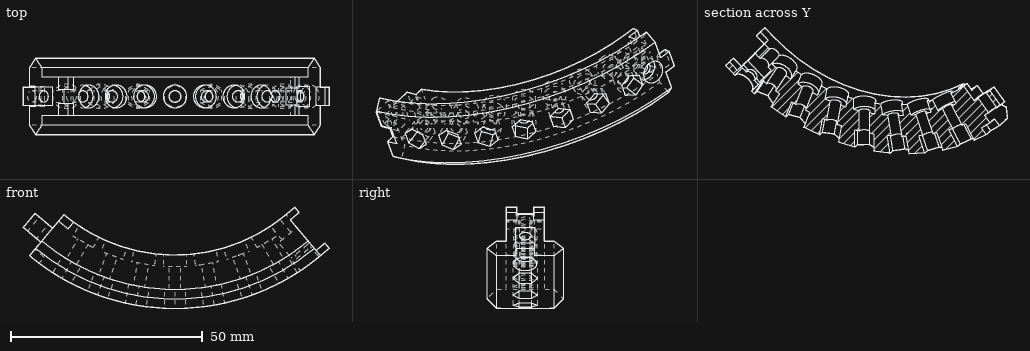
import cadquery as cq
import math

OUTER_R = 59.0
DEPTH = 14.0
INNER_R = OUTER_R - DEPTH
HALF_SPAN = 40.0

WEB_WIDTH = 10.0
FLANGE_WIDTH = 20.0
FLANGE_DEPTH = 5.0
FLANGE_CHAMFER = 2.5

FIT = 0.2
TONGUE = 5.0
TONGUE_R = 52.0
TONGUE_LENGTH = 6.0
LIP_WIDTH = 5.0
LIP_THICK = 2.0
PRONG_WIDTH = 3.0
PRONG_THICK = 2.0
HOOK_LENGTH = 3.0

HOLE_DIAMETER = 3.0
HEAD_DIAMETER = 6.0
HEAD_DEPTH = 3.0
HEX_SIDES = 6
NUT_FLATS = 5.5
NUT_DEPTH = 5.0
SOCKET_HOLE_SETBACK = 3.5
SOCKET_FLOOR = 1.0
HOLE_PITCH = 10.0
SIDE_HOLES = 3
CUT_MARGIN = 1.0


def at_angle(body, angle):
    """Swing a body from the lowest point of the arc; positive angles go to +X."""
    return body.rotate((0, 0, 0), (0, 1, 0), -angle)


def block(start, length, y_from, y_to, r_from, r_to):
    """Box at the lowest point: X along the arc, Y across, radius measured down."""
    return cq.Workplane("XY").box(
        length, y_to - y_from, r_to - r_from, centered=False
    ).translate((start, y_from, -r_to))


def rail():
    """T-shaped section revolved through the full span."""
    half_web = WEB_WIDTH / 2
    half_flange = FLANGE_WIDTH / 2
    flange_edge = half_flange - FLANGE_CHAMFER
    flange_top = OUTER_R - FLANGE_DEPTH
    half_section = [
        (half_web, -INNER_R),
        (half_web, -flange_top),
        (flange_edge, -flange_top),
        (half_flange, -flange_top - FLANGE_CHAMFER),
        (flange_edge, -OUTER_R),
    ]
    mirrored = [(-y, z) for y, z in reversed(half_section)]
    body = (
        cq.Workplane("YZ")
        .polyline(half_section + mirrored)
        .close()
        .revolve(2 * HALF_SPAN, (0, 0, 0), (1, 0, 0))
    )
    return at_angle(body, HALF_SPAN)


def tongue(start, length, fit):
    half = (TONGUE + fit) / 2
    return block(start, length, -half, half, TONGUE_R - half, TONGUE_R + half)


def lip(start, length, fit, overrun=0.0):
    half = (LIP_WIDTH + fit) / 2
    return block(start, length, -half, half, OUTER_R - LIP_THICK - fit, OUTER_R + overrun)


def prongs(start, length, fit, overrun=0.0):
    outside = WEB_WIDTH / 2 + overrun
    inside = WEB_WIDTH / 2 - PRONG_WIDTH - fit
    r_from = INNER_R - overrun
    r_to = INNER_R + PRONG_THICK + fit
    return block(start, length, inside, outside, r_from, r_to).union(
        block(start, length, -outside, -inside, r_from, r_to)
    )


def cylinder(diameter, r_from, r_to):
    return cq.Workplane("XY").workplane(offset=-r_to).circle(diameter / 2).extrude(r_to - r_from)


def nut_pocket():
    corner_diameter = NUT_FLATS / math.cos(math.pi / HEX_SIDES)
    hexagon = (
        cq.Workplane("XY")
        .workplane(offset=-OUTER_R - CUT_MARGIN)
        .polygon(HEX_SIDES, corner_diameter)
        .extrude(NUT_DEPTH + CUT_MARGIN)
    )
    return hexagon.rotate((0, 0, 0), (0, 0, 1), 90)


def through_hole():
    return cylinder(HOLE_DIAMETER, INNER_R - CUT_MARGIN, OUTER_R + CUT_MARGIN)


def screw_hole():
    """Radial hole with a screw head seat inside and a nut pocket outside."""
    head = cylinder(HEAD_DIAMETER, INNER_R - CUT_MARGIN, INNER_R + HEAD_DEPTH)
    return through_hole().union(head).union(nut_pocket())


def socket_hole():
    """Hole crossing the socket, parallel to the end face, with a screw head seat outside."""
    seat_r = TONGUE_R + (TONGUE + FIT) / 2 + SOCKET_FLOOR
    head = cylinder(HEAD_DIAMETER, seat_r, OUTER_R + CUT_MARGIN)
    return through_hole().union(head).translate((-SOCKET_HOLE_SETBACK, 0, 0))


result = rail()

pocket_length = HOOK_LENGTH + FIT
left_cuts = lip(-CUT_MARGIN, pocket_length + CUT_MARGIN, FIT, CUT_MARGIN).union(
    prongs(-CUT_MARGIN, pocket_length + CUT_MARGIN, FIT, CUT_MARGIN)
)
left_tongue = tongue(-TONGUE_LENGTH, TONGUE_LENGTH, -FIT).cut(
    through_hole().translate((-TONGUE_LENGTH / 2, 0, 0))
)
result = result.cut(at_angle(left_cuts, -HALF_SPAN))
result = result.union(at_angle(left_tongue, -HALF_SPAN))

right_hooks = lip(0, HOOK_LENGTH, -FIT).union(prongs(0, HOOK_LENGTH, -FIT))
socket_length = TONGUE_LENGTH + FIT
socket = tongue(-socket_length, socket_length + CUT_MARGIN, FIT)
result = result.union(at_angle(right_hooks, HALF_SPAN))
result = result.cut(at_angle(socket, HALF_SPAN))
result = result.cut(at_angle(socket_hole(), HALF_SPAN))

for index in range(-SIDE_HOLES, SIDE_HOLES + 1):
    result = result.cut(at_angle(screw_hole(), index * HOLE_PITCH))